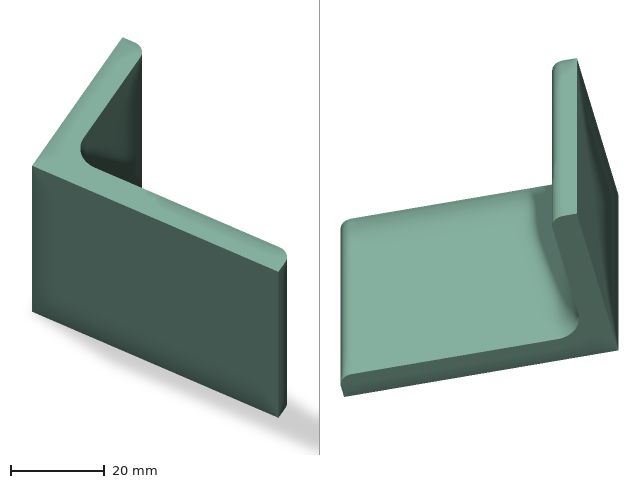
import cadquery as cq

long_leg = 60.0
short_leg = 40.0
thickness = 6.0
length = 50.0
root_radius = 6.0
toe_radius = 3.0


def angle_profile():
    """L-shaped section with its outer corner at the origin and sharp inner corners."""
    return (
        cq.Workplane("XY")
        .moveTo(0, 0)
        .lineTo(long_leg, 0)
        .lineTo(long_leg, thickness)
        .lineTo(thickness, thickness)
        .lineTo(thickness, short_leg)
        .lineTo(0, short_leg)
        .close()
    )


def vertical_edge_at(x, y):
    """Selector for the vertical edge whose midpoint is nearest to (x, y)."""
    return cq.selectors.NearestToPointSelector((x, y, length / 2))


angle = angle_profile().extrude(length)

angle = angle.edges(vertical_edge_at(thickness, thickness)).fillet(root_radius)

for toe_x, toe_y in [(long_leg, thickness), (thickness, short_leg)]:
    angle = angle.edges(vertical_edge_at(toe_x, toe_y)).fillet(toe_radius)

result = angle